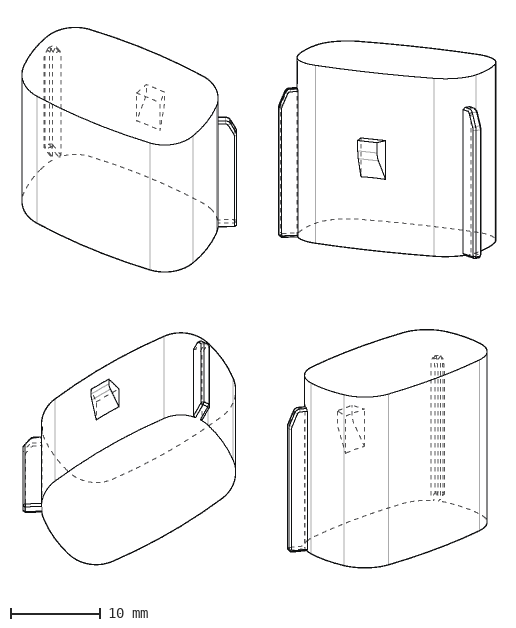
import cadquery as cq
import math

overall_length = 24.65

body_length = 22.3
body_depth = 12.8
body_height = 20.5
long_side_radius = 60.37
short_side_radius = 13.05
corner_radius = 4.25

hook_reach = 1.58
hook_root_width = 3.0
hook_tip_width = 2.37
hook_top_at_root = 12.84
hook_top_at_tip = 12.94
hook_ramp_top = 11.24
hook_ramp_bottom = 8.4
hook_nose_radius = 1.97
hook_embed = 0.5

fin_angle = 30
fin_origin_x = 3.65
fin_root = 5.42
fin_thickness = 1.08
fin_height = 17.05
fin_lead_in = 0.86
fin_lead_in_height = 2.02
fin_top_radius = 0.6
fin_shoulder_radius = 1.1
fin_chamfer = 0.25

fin_tilt = math.radians(fin_angle)
tip_half_width = fin_thickness / 2 - fin_chamfer
tip_reach = overall_length / 2 - fin_origin_x - tip_half_width * math.sin(fin_tilt)
fin_length = tip_reach / math.cos(fin_tilt)


def make_body():
    """Four bulged sides as overlapping cylinders, with rounded corners."""
    long_offset = long_side_radius - body_depth / 2
    short_offset = short_side_radius - body_length / 2
    sides = [
        (0, -long_offset, long_side_radius),
        (0, long_offset, long_side_radius),
        (-short_offset, 0, short_side_radius),
        (short_offset, 0, short_side_radius),
    ]
    body = cq.Workplane("XY").rect(body_length, body_depth).extrude(body_height)
    for x, y, radius in sides:
        cylinder = cq.Workplane("XY").center(x, y).circle(radius).extrude(body_height)
        body = body.intersect(cylinder)
    return body.edges("|Z").fillet(corner_radius)


def make_hook():
    """Wedge with a rounded nose, cut to a plan that narrows towards its tip."""
    root_y = body_depth / 2
    tip_y = root_y + hook_reach
    inner_y = root_y - hook_embed
    top_slope = (hook_top_at_tip - hook_top_at_root) / hook_reach
    ramp_slope = (hook_ramp_top - hook_ramp_bottom) / hook_reach
    profile = [
        (inner_y, hook_top_at_root - top_slope * hook_embed),
        (tip_y, hook_top_at_tip),
        (tip_y, hook_ramp_top),
        (inner_y, hook_ramp_bottom - ramp_slope * hook_embed),
    ]
    wedge = cq.Workplane("YZ").polyline(profile).close().extrude(hook_root_width, both=True)
    nose = cq.selectors.NearestToPointSelector((0, tip_y, hook_ramp_top))
    wedge = wedge.edges("|X").edges(nose).fillet(hook_nose_radius)

    side_slope = (hook_root_width - hook_tip_width) / 2 / hook_reach
    inner_half = hook_root_width / 2 + side_slope * hook_embed
    tip_half = hook_tip_width / 2
    plan = [(-inner_half, inner_y), (inner_half, inner_y), (tip_half, tip_y), (-tip_half, tip_y)]
    return wedge.intersect(cq.Workplane("XY").polyline(plan).close().extrude(body_height))


def make_fin():
    """Upright plate with a sloped lead-in at the top, chamfered all round."""
    shoulder_z = fin_height - fin_lead_in_height
    lead_in_x = fin_length - fin_lead_in
    profile = [
        (fin_root, 0),
        (fin_length - fin_chamfer, 0),
        (fin_length, fin_chamfer),
        (fin_length, shoulder_z),
        (lead_in_x, fin_height),
        (fin_root, fin_height),
    ]
    fin = cq.Workplane("XZ").polyline(profile).close().extrude(fin_thickness / 2, both=True)
    rounds = [
        (fin_length, shoulder_z, fin_shoulder_radius),
        (lead_in_x, fin_height, fin_top_radius),
    ]
    for x, z, radius in rounds:
        corner = cq.selectors.NearestToPointSelector((x, 0, z))
        fin = fin.edges("|Y").edges(corner).fillet(radius)
    fin = fin.faces("<Y or >Y").chamfer(fin_chamfer)
    return fin.rotate((0, 0, 0), (0, 0, 1), fin_angle).translate((fin_origin_x, 0, 0))


right_fin = make_fin()
left_fin = right_fin.mirror("YZ")
result = make_body().union(make_hook()).union(right_fin).union(left_fin)